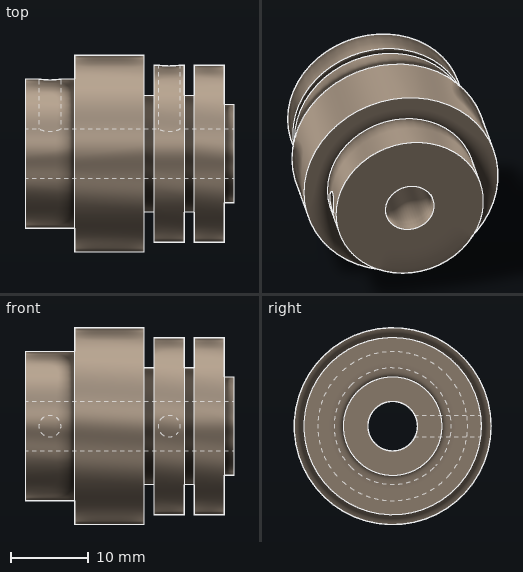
import cadquery as cq

hub_length = 6.35
flange_length = 8.96
neck_length = 1.27
disc_length = 3.9

hub_diameter = 19.27
flange_diameter = 25.4
disc_diameter = 22.85
neck_diameter = 15.08
end_diameter = 12.7
bore_diameter = 6.35
set_screw_diameter = 2.8

sections = [
    (hub_length, hub_diameter),
    (flange_length, flange_diameter),
    (neck_length, neck_diameter),
    (disc_length, disc_diameter),
    (neck_length, neck_diameter),
    (disc_length, disc_diameter),
    (neck_length, end_diameter),
]
total_length = sum(length for length, _ in sections)


def turned_body():
    """Revolve the stepped half profile about the X axis, leaving the bore open."""
    x = 0
    profile = cq.Workplane("XY").moveTo(x, bore_diameter / 2)
    for length, diameter in sections:
        profile = profile.lineTo(x, diameter / 2)
        x += length
        profile = profile.lineTo(x, diameter / 2)
    profile = profile.lineTo(total_length, bore_diameter / 2).close()
    return profile.revolve(360, (0, 0, 0), (1, 0, 0))


def set_screw_hole(x):
    """Radial cutter at x, running from the axis out through the +Y side."""
    axis_start = cq.Vector(x, 0, 0)
    outward = cq.Vector(0, 1, 0)
    return cq.Solid.makeCylinder(set_screw_diameter / 2, flange_diameter / 2, axis_start, outward)


hub_center = hub_length / 2
first_disc_center = hub_length + flange_length + neck_length + disc_length / 2

result = turned_body()
for hole_x in (hub_center, first_disc_center):
    result = result.cut(cq.Workplane(obj=set_screw_hole(hole_x)))